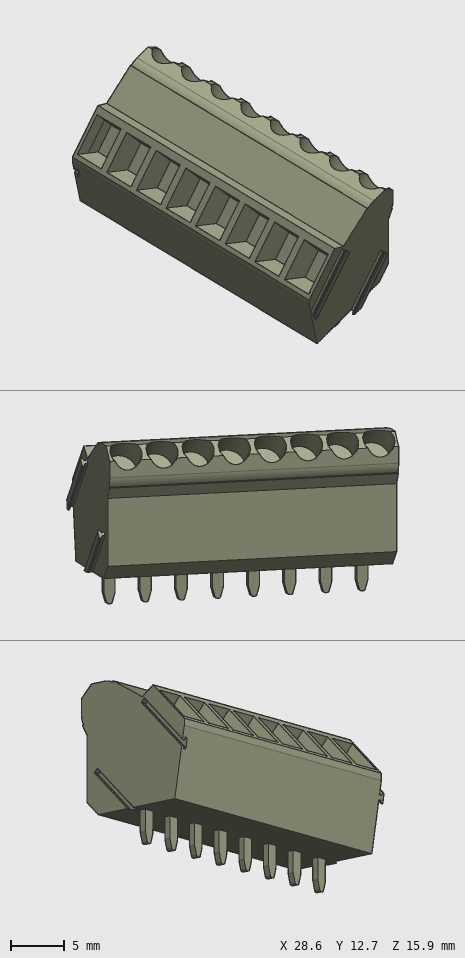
import cadquery as cq
import math

pole_count = 8
overall_length = 28.6
rail_height = 0.6
housing_length = overall_length - rail_height
pitch = housing_length / pole_count
housing_depth = 12.7
housing_height = 12.7

front_foot_y = 1.17
lean_top_z = 6.84
entry_bottom_z = 7.52
entry_rise = 3.85
notch_y = 5.18
notch_z = 10.45
top_flat_front_y = 9.78
back_flat_bottom_z = 9.9
shoulder_radius = 1.85
shoulder_angle = math.radians(30)
shoulder_step = 0.15
back_chamfer = 1.23
lower_back_y = 12.0
lower_back_top_z = 7.85
bottom_chamfer = 1.4

funnel_width = 2.83
funnel_length = 4.23
funnel_shift = 0.11
funnel_depth = 2.5
funnel_taper = 15.5

screw_hole_radius = 1.52
screw_hole_depth = 2.63

upper_slide_end = (5.12, 10.1)
lower_slide_end = (10.93, 4.3)
slide_run = 11.45
slide_head_width = 0.9
slide_head_chamfer = 0.1
groove_mouth_width = 0.51
groove_neck_width = 0.45
groove_mouth_depth = 0.17
groove_head_start = 0.35
groove_depth = 0.63
rail_root_width = 0.43
rail_root_height = 0.15
rail_neck_width = 0.37
rail_neck_height = 0.25
rail_head_start = 0.4

pin_width = 1.1
pin_thickness = 0.63
pin_center_y = 6.18
pin_length = 3.2
pin_straight_length = 2.15
pin_tip_width = 0.45
pin_tip_radius = 0.23

pole_positions = [(index + 0.5) * pitch for index in range(pole_count)]
diagonal = math.sqrt(0.5)


def housing_block():
    """Cross-section of the housing, swept along X."""
    end_run = shoulder_radius * math.sin(shoulder_angle)
    end_drop = shoulder_radius * (1 - math.cos(shoulder_angle))
    mid_run = shoulder_radius * math.sin(shoulder_angle / 2)
    mid_drop = shoulder_radius * (1 - math.cos(shoulder_angle / 2))
    step_along = shoulder_step * math.sin(shoulder_angle)
    step_out = shoulder_step * math.cos(shoulder_angle)

    top_shoulder_mid = (top_flat_front_y - mid_run, housing_height - mid_drop)
    top_shoulder_end = (top_flat_front_y - end_run, housing_height - end_drop)
    top_step = (top_shoulder_end[0] - step_along, top_shoulder_end[1] + step_out)
    back_shoulder_mid = (housing_depth - mid_drop, back_flat_bottom_z - mid_run)
    back_shoulder_end = (housing_depth - end_drop, back_flat_bottom_z - end_run)
    back_step = (back_shoulder_end[0] + step_out, back_shoulder_end[1] - step_along)

    return (
        cq.Workplane("YZ")
        .moveTo(front_foot_y, 0)
        .lineTo(0, lean_top_z)
        .lineTo(0, entry_bottom_z)
        .lineTo(entry_rise, entry_bottom_z + entry_rise)
        .lineTo(notch_y, notch_z)
        .lineTo(*top_step)
        .lineTo(*top_shoulder_end)
        .threePointArc(top_shoulder_mid, (top_flat_front_y, housing_height))
        .lineTo(housing_depth - back_chamfer, housing_height)
        .lineTo(housing_depth, housing_height - back_chamfer)
        .lineTo(housing_depth, back_flat_bottom_z)
        .threePointArc(back_shoulder_mid, back_shoulder_end)
        .lineTo(*back_step)
        .lineTo(lower_back_y, lower_back_top_z)
        .lineTo(lower_back_y, bottom_chamfer)
        .lineTo(lower_back_y - bottom_chamfer, 0)
        .close()
        .extrude(housing_length)
    )


def wire_funnel(x):
    """Tapered rectangular pocket, sunk square into the wire-entry face."""
    mouth_height = entry_rise / 2 - funnel_shift
    mouth_center = (x, mouth_height, entry_bottom_z + mouth_height)
    inward = cq.Plane(origin=mouth_center, xDir=(1, 0, 0), normal=(0, diagonal, -diagonal))
    return cq.Workplane(inward).rect(funnel_width, funnel_length).extrude(funnel_depth, taper=funnel_taper)


def screw_hole(x):
    """Flat-bottomed bore, square to the top rear chamfer and centred on it."""
    mouth_center = (x, housing_depth - back_chamfer / 2, housing_height - back_chamfer / 2)
    outward = cq.Plane(origin=mouth_center, xDir=(1, 0, 0), normal=(0, diagonal, diagonal))
    return (
        cq.Workplane(outward)
        .workplane(offset=-screw_hole_depth)
        .circle(screw_hole_radius)
        .extrude(2 * screw_hole_depth)
    )


def slide(x, blind_end, half_outline):
    """T-shaped bar from its blind end down toward the front; half_outline lists (X, half width)."""
    downward = cq.Plane(origin=(x, *blind_end), xDir=(1, 0, 0), normal=(0, -diagonal, -diagonal))
    mirrored = [(reach, -half_width) for reach, half_width in reversed(half_outline)]
    return cq.Workplane(downward).polyline(half_outline + mirrored).close().extrude(slide_run)


def groove(blind_end):
    """Groove cut into the left end face."""
    half_outline = [
        (0, groove_mouth_width / 2),
        (groove_mouth_depth, groove_neck_width / 2),
        (groove_head_start, groove_neck_width / 2),
        (groove_head_start, slide_head_width / 2),
        (groove_depth - slide_head_chamfer, slide_head_width / 2),
        (groove_depth, slide_head_width / 2 - slide_head_chamfer),
    ]
    return slide(0, blind_end, half_outline)


def rail(blind_end):
    """Rail on the right end face, trimmed flush with the front and bottom of the housing."""
    half_outline = [
        (0, rail_root_width / 2),
        (rail_root_height, rail_neck_width / 2),
        (rail_neck_height, rail_neck_width / 2),
        (rail_head_start, slide_head_width / 2),
        (rail_height - slide_head_chamfer, slide_head_width / 2),
        (rail_height, slide_head_width / 2 - slide_head_chamfer),
    ]
    envelope = housing_block().translate((rail_height, 0, 0))
    return slide(housing_length, blind_end, half_outline).intersect(envelope)


def build_housing():
    body = housing_block()
    for x in pole_positions:
        body = body.cut(wire_funnel(x)).cut(screw_hole(x))
    for blind_end in (upper_slide_end, lower_slide_end):
        body = body.cut(groove(blind_end)).union(rail(blind_end))
    return body


def build_pin(x):
    """Flat pin hanging from the housing floor, narrowed and rounded at its tip."""
    half_width = pin_width / 2
    half_tip = pin_tip_width / 2
    outline = [
        (x - half_width, 0),
        (x - half_width, -pin_straight_length),
        (x - half_tip, -pin_length),
        (x + half_tip, -pin_length),
        (x + half_width, -pin_straight_length),
        (x + half_width, 0),
    ]
    return (
        cq.Workplane("XZ", origin=(0, pin_center_y, 0))
        .polyline(outline)
        .close()
        .extrude(pin_thickness / 2, both=True)
        .faces("<Z")
        .edges("|Y")
        .fillet(pin_tip_radius)
    )


housing = build_housing()
pins = [build_pin(x) for x in pole_positions]

result = cq.Compound.makeCompound([housing.val(), *[pin.val() for pin in pins]])